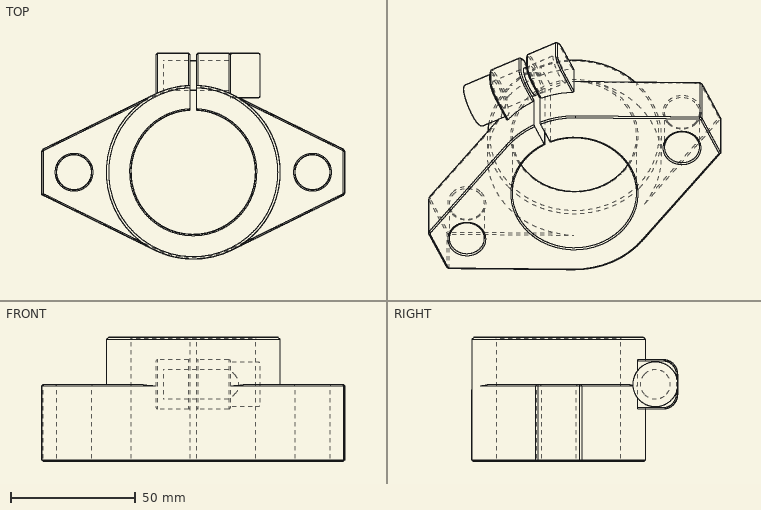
import cadquery as cq
import math

ring_diameter = 70.0
bore_diameter = 50.0
height = 50.0
ring_top_chamfer = 1.0
edge_break = 0.6

flange_length = 122.0
flange_tip_width = 18.0
flange_thickness = 31.0
mount_hole_diameter = 14.0
mount_hole_spacing = 96.0

slot_width = 2.6
lug_span = 30.0
lug_height = 20.0
lug_tip_y = 48.0
lug_root_y = 29.3
lug_corner_radius = 6.0

head_diameter = 18.0
head_length = 12.0
head_rounding = 1.0
shank_diameter = 12.0
shank_length = 27.0
screw_y = 38.9

ring_radius = ring_diameter / 2
half_length = flange_length / 2
half_tip = flange_tip_width / 2
lug_face_x = lug_span / 2
lug_length = (lug_span - slot_width) / 2
screw_z = flange_thickness


def make_flange():
    """Plate with two tapered wings whose sides are tangent to the ring.

    Straight chords join the tangent points; the ring covers them.
    """
    tip_angle = math.atan2(half_tip, half_length)
    tangent_angle = tip_angle + math.acos(ring_radius / math.hypot(half_length, half_tip))
    tangent_x = ring_radius * math.cos(tangent_angle)
    tangent_y = ring_radius * math.sin(tangent_angle)
    plate = (
        cq.Workplane("XY")
        .moveTo(half_length, -half_tip)
        .lineTo(half_length, half_tip)
        .lineTo(tangent_x, tangent_y)
        .lineTo(-tangent_x, tangent_y)
        .lineTo(-half_length, half_tip)
        .lineTo(-half_length, -half_tip)
        .lineTo(-tangent_x, -tangent_y)
        .lineTo(tangent_x, -tangent_y)
        .close()
        .extrude(flange_thickness)
    )
    plate = plate.edges("|Z and >X").chamfer(edge_break)
    plate = plate.edges("|Z and <X").edges(">Y").chamfer(edge_break)
    return plate.faces(">Z or <Z").chamfer(edge_break)


def make_ring():
    """Solid cylinder of the clamping ring, before boring."""
    cylinder = cq.Workplane("XY").circle(ring_radius).extrude(height)
    return cylinder.faces(">Z").chamfer(ring_top_chamfer).faces("<Z").chamfer(edge_break)


def make_lug(side):
    """Clamping lug on the +X (side = 1) or -X (side = -1) side of the slot."""
    center_x = side * (slot_width + lug_span) / 4
    block = cq.Workplane("XY").box(lug_length, lug_tip_y - lug_root_y, lug_height)
    block = block.edges("|X and >Y").fillet(lug_corner_radius)
    block = block.faces("<X or >X").chamfer(edge_break)
    return block.translate((center_x, (lug_tip_y + lug_root_y) / 2, screw_z))


def make_hole(diameter, depth, center_x):
    """Cutter for a vertical through hole from Z = 0, flared at both ends for the edge breaks."""
    radius = diameter / 2
    flared_radius = radius + edge_break
    profile = (
        cq.Workplane("XZ")
        .lineTo(flared_radius, 0)
        .lineTo(radius, edge_break)
        .lineTo(radius, depth - edge_break)
        .lineTo(flared_radius, depth)
        .lineTo(0, depth)
        .close()
    )
    return profile.revolve().translate((center_x, 0, 0))


def make_screw():
    """Cap screw with a plain cylindrical head; the shank ends blind in the -X lug."""
    seat = cq.Workplane("YZ", origin=(lug_face_x, screw_y, screw_z))
    head = seat.circle(head_diameter / 2).extrude(head_length)
    head = head.faces(">X").edges().fillet(head_rounding)
    shank = seat.circle(shank_diameter / 2).extrude(-shank_length)
    return head.union(shank)


def make_housing(screw):
    """Flanged clamping ring, split by the slot, with a seat that matches the screw."""
    body = make_flange().union(make_ring())
    for side in (-1, 1):
        body = body.union(make_lug(side))
    body = body.cut(make_hole(bore_diameter, height, 0))
    for side in (-1, 1):
        hole_x = side * mount_hole_spacing / 2
        body = body.cut(make_hole(mount_hole_diameter, flange_thickness, hole_x))
    slot = cq.Workplane("XY").box(slot_width, lug_tip_y, height, centered=(True, False, False))
    return body.cut(slot).cut(screw)


screw = make_screw()
housing = make_housing(screw)

result = cq.Compound.makeCompound([housing.solids().val(), screw.solids().val()])